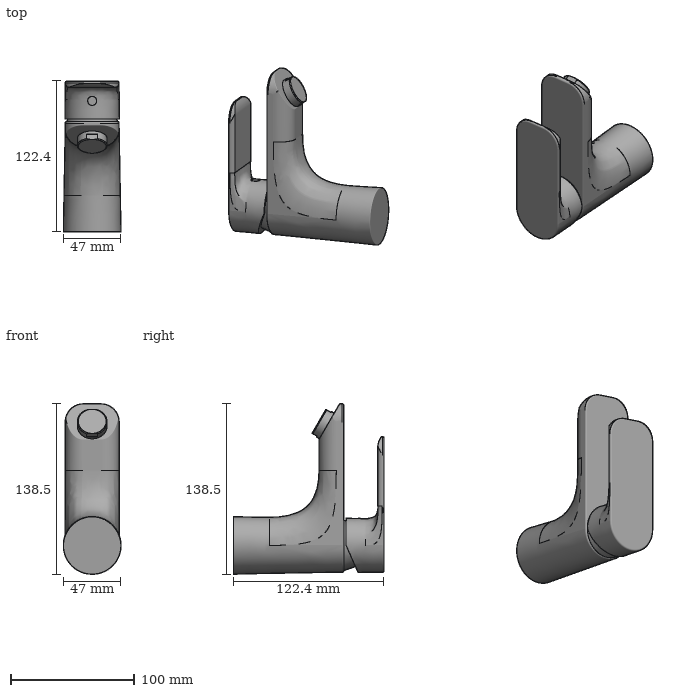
import cadquery as cq
import math


BASE_RADIUS = 46.99 / 2
BODY_LENGTH = 89.7
BODY_BACK_RADIUS = 21.9
TUBE_END_ROUND = 0.5
OVERALL_LENGTH = 122.44
EDGE_ROUND = 1.4
BACK_PLATE = 1.5

SPOUT_TOP = 138.49 - BASE_RADIUS
SPOUT_FRONT = 69.5
SPOUT_SIDE_FRONT = 83.6
SPOUT_FLAT_HALF = 7.75
TOP_CORNER_RADIUS = 15.0
SPOUT_ELBOW_TOP = 60.8
SPOUT_ELBOW_FRONT = 29.5
SPOUT_CROWN_HALF = 9.2
SPOUT_OUTER_PULL = 0.88
SPOUT_INNER_PULL = 0.70

SLOPE_ANGLE = 30.0
SLOPE_TOP_Y = 86.3
SLOPE_ROUND = 0.5
AERATOR_RADIUS = 12.1
AERATOR_HEIGHT = 7.4
AERATOR_CHAMFER = 0.8
AERATOR_OFFSET = 20.8
AERATOR_ROOT = 2.0
NOTCH_WIDTH = 9.0
NOTCH_FLOOR = 2.6

NECK_RADIUS = 20.6
NECK_END_RADIUS = 17.4
NECK_END = 99.0
NECK_OVERLAP = 2.0

LEVER_BACK_RADIUS = 21.9
LEVER_FRONT_RADIUS = 22.2
LEVER_FRONT = 91.6
LEVER_SLANT_Y = 101.4
LEVER_TOP = 88.4
LEVER_FACE = 117.2
LEVER_SIDE_FRONT = 120.9
LEVER_FLAT_HALF = 19.7
LEVER_CROWN_HALF = 20.6
LEVER_ELBOW_TOP = 31.8
LEVER_ELBOW_FRONT = 107.35
LEVER_OUTER_PULL = 0.85
LEVER_INNER_PULL = 0.80
LEVER_TIP_START = 79.4
LEVER_TIP_Y = 120.3
MARK_RADIUS = 3.65
MARK_Y = 106.4
MARK_FLOOR = 21.6

BODY_TAPER_END = BODY_LENGTH - BACK_PLATE
LEVER_TAPER_END = OVERALL_LENGTH - BACK_PLATE

SPOUT_ELBOW_STEPS = 10
LEVER_ELBOW_STEPS = 8
SECTION_ROOT = 0.7
ROOT_INSET = 0.5


def body_radius(y):
    share = (y - TUBE_END_ROUND) / (BODY_TAPER_END - TUBE_END_ROUND)
    return BASE_RADIUS + (BODY_BACK_RADIUS - BASE_RADIUS) * share


def lever_radius(y):
    share = (y - LEVER_FRONT) / (LEVER_TAPER_END - LEVER_FRONT)
    return LEVER_FRONT_RADIUS + (LEVER_BACK_RADIUS - LEVER_FRONT_RADIUS) * share


def frustum(radius_at, y_start, y_end):
    """Solid cone piece about the Y axis."""
    outline = [(0, y_start), (radius_at(y_start), y_start), (radius_at(y_end), y_end), (0, y_end)]
    return cq.Workplane("XY").polyline(outline).close().revolve(360, (0, 0, 0), (0, 1, 0))


def block(x_half, y_start, y_end, z_start, z_end):
    size = (2 * x_half, y_end - y_start, z_end - z_start)
    return cq.Workplane("XY").box(*size, centered=(True, False, False)).translate((0, y_start, z_start))


def elbow_handles(start, end, pull):
    """Bezier points of a bend that leaves start straight down and reaches end level."""
    below_start = (start[0], start[1] - pull * (start[1] - end[1]))
    behind_end = (end[0] + pull * (start[0] - end[0]), end[1])
    return [start, below_start, behind_end, end]


def bezier_point(handles, t):
    weights = [(1 - t) ** 3, 3 * t * (1 - t) ** 2, 3 * t ** 2 * (1 - t), t ** 3]
    return tuple(sum(w * p[axis] for w, p in zip(weights, handles)) for axis in range(2))


def corner_shape(inset, rise):
    """Arc tangent to a flat side: its half turn, and its middle as shares of inset and rise."""
    radius = (inset ** 2 + rise ** 2) / (2 * inset)
    half_turn = math.atan2(inset, rise)
    inset_share = radius * (1 - math.cos(half_turn)) / inset
    rise_share = radius * math.sin(half_turn) / rise
    return half_turn, inset_share, rise_share


def blend(start, end, t):
    return start + (end - start) * t


def section_wire(origin, direction, half_width, depth, split, split_depth, corner):
    """Closed section: two corner curves tangent to the sides and a crown between them."""
    half_turn, inset_share, rise_share = corner
    tangent_x = math.sin(2 * half_turn)
    tangent_d = math.cos(2 * half_turn)

    def place(x, d):
        return cq.Vector(x, origin[0] + d * direction[0], origin[1] + d * direction[1])

    def corner_edge(side):
        points = [place(side * half_width, 0),
                  place(side * (half_width - inset_share * (half_width - split)), rise_share * split_depth),
                  place(side * split, split_depth)]
        along_side = cq.Vector(0, *direction)
        into_crown = cq.Vector(-side * tangent_x, tangent_d * direction[0], tangent_d * direction[1])
        if side > 0:
            return cq.Edge.makeSpline(points, tangents=[along_side, into_crown])
        return cq.Edge.makeSpline(points[::-1], tangents=[-into_crown, -along_side])

    right_split = place(split, split_depth)
    left_split = place(-split, split_depth)
    root_corners = [place(-half_width, 0), place(ROOT_INSET - half_width, -SECTION_ROOT),
                    place(half_width - ROOT_INSET, -SECTION_ROOT), place(half_width, 0)]
    if math.isclose(split_depth, depth):
        crown = cq.Edge.makeLine(right_split, left_split)
    else:
        crown = cq.Edge.makeThreePointArc(right_split, place(0, depth), left_split)
    root = [cq.Edge.makeLine(*ends) for ends in zip(root_corners, root_corners[1:])]
    return cq.Wire.assembleEdges([corner_edge(1), crown, corner_edge(-1)] + root)


def elbow(outer, inner, radius_at, flat_half, crown_half, steps):
    """Bend that turns from a flat-fronted section into a half circle."""
    start_width = radius_at(outer[0][0])
    start_depth = math.dist(outer[0], inner[0])
    end_radius = radius_at(outer[-1][0])
    end_split_depth = math.sqrt(end_radius ** 2 - crown_half ** 2)
    start_corner = corner_shape(start_width - flat_half, start_depth)
    end_corner = corner_shape(end_radius - crown_half, end_split_depth)
    wires = []
    for step in range(steps + 1):
        t = step / steps
        back = bezier_point(outer, t)
        front = bezier_point(inner, t)
        depth = math.dist(back, front)
        direction = ((front[0] - back[0]) / depth, (front[1] - back[1]) / depth)
        split = blend(flat_half, crown_half, t)
        split_depth = depth * blend(1, end_split_depth / end_radius, t)
        corner = [blend(a, b, t) for a, b in zip(start_corner, end_corner)]
        wires.append(section_wire(back, direction, radius_at(back[0]), depth, split, split_depth, corner))
    return cq.Workplane(cq.Solid.makeLoft(wires))


def web(outer, radius_at, y_back):
    """Flat-sided solid between the elbow and the rear face, resting on the tube axis."""
    top = outer[0][1]
    y_front = outer[-1][0]
    widths = [(radius_at(y_front), y_front), (radius_at(y_back), y_back),
              (-radius_at(y_back), y_back), (-radius_at(y_front), y_front)]
    side = (cq.Workplane("YZ").moveTo(*outer[0]).bezier(outer[1:], includeCurrent=True)
            .lineTo(y_back, 0).lineTo(y_back, top).close().extrude(BASE_RADIUS, both=True))
    return cq.Workplane("XY").polyline(widths).close().extrude(top).intersect(side)


def upright(radius_at, y_back, y_side, y_front, flat_half, z_start, z_end):
    """Straight column with rounded front corners and rounded top corners."""
    back = radius_at(y_back)
    side = radius_at(y_side)
    inset = side - flat_half
    rise = y_side - y_front
    _, inset_share, rise_share = corner_shape(inset, rise)
    mid_x = side - inset_share * inset
    mid_y = y_side - rise_share * rise
    column = (cq.Workplane("XY").workplane(offset=z_start)
              .moveTo(-back, y_back).lineTo(-side, y_side)
              .threePointArc((-mid_x, mid_y), (-flat_half, y_front)).lineTo(flat_half, y_front)
              .threePointArc((mid_x, mid_y), (side, y_side)).lineTo(back, y_back)
              .close().extrude(z_end - z_start))
    outline = (block(side, y_front, y_back, z_start, z_end)
               .edges("|Y and >Z").fillet(TOP_CORNER_RADIUS))
    return column.intersect(outline)


def back_plate(radius, y_back, top):
    """Rear plate: half round below the axis, rounded top corners, rounded rear outline."""
    lower = cq.Workplane("XZ").circle(radius).extrude(BACK_PLATE)
    lower = lower.translate((0, y_back, 0))
    plate = (block(radius, y_back - BACK_PLATE, y_back, 0, top)
             .edges("|Y and >Z").fillet(TOP_CORNER_RADIUS)
             .union(lower))
    return plate.faces(">Y").edges().fillet(EDGE_ROUND)


def slope_plane():
    """Plane of the outlet face: origin at its top edge, local Y up the slope."""
    angle = math.radians(SLOPE_ANGLE)
    return cq.Plane(origin=(0, SLOPE_TOP_Y, SPOUT_TOP), xDir=(1, 0, 0),
                    normal=(0, -math.cos(angle), math.sin(angle)))


def outermost_along_slope_normal():
    return cq.selectors.DirectionMinMaxSelector(slope_plane().zDir, True)


def make_body():
    outer = elbow_handles((SPOUT_SIDE_FRONT, SPOUT_ELBOW_TOP), (SPOUT_ELBOW_FRONT, 0), SPOUT_OUTER_PULL)
    inner = elbow_handles((SPOUT_FRONT, SPOUT_ELBOW_TOP),
                          (SPOUT_ELBOW_FRONT, body_radius(SPOUT_ELBOW_FRONT)), SPOUT_INNER_PULL)
    tube = frustum(body_radius, 0, BODY_TAPER_END).faces("<Y").edges().fillet(TUBE_END_ROUND)
    above_axis = block(2 * BASE_RADIUS, SPOUT_ELBOW_FRONT, BODY_LENGTH, 0, BASE_RADIUS)
    column = upright(body_radius, BODY_TAPER_END, SPOUT_SIDE_FRONT, SPOUT_FRONT, SPOUT_FLAT_HALF,
                     SPOUT_ELBOW_TOP, SPOUT_TOP)
    above_slope = (cq.Workplane(slope_plane())
                   .rect(4 * BASE_RADIUS, 2 * SPOUT_TOP).extrude(SPOUT_TOP))
    column = column.cut(above_slope)
    column = column.faces(outermost_along_slope_normal()).edges().fillet(SLOPE_ROUND)
    body = (tube.cut(above_axis)
            .union(web(outer, body_radius, BODY_TAPER_END))
            .union(elbow(outer, inner, body_radius, SPOUT_FLAT_HALF, SPOUT_CROWN_HALF, SPOUT_ELBOW_STEPS))
            .union(column)
            .union(back_plate(BODY_BACK_RADIUS, BODY_LENGTH, SPOUT_TOP)))
    return body


def make_aerator():
    centre = cq.Workplane(slope_plane()).center(0, -AERATOR_OFFSET)
    aerator = (centre.workplane(offset=-AERATOR_ROOT).circle(AERATOR_RADIUS)
               .extrude(AERATOR_ROOT + AERATOR_HEIGHT)
               .faces(outermost_along_slope_normal())
               .chamfer(AERATOR_CHAMFER))
    flat_distance = math.sqrt(AERATOR_RADIUS ** 2 - (NOTCH_WIDTH / 2) ** 2)
    for side in (1, -1):
        notch = (centre.workplane(offset=NOTCH_FLOOR)
                 .center(0, side * (flat_distance + NOTCH_WIDTH / 2))
                 .rect(NOTCH_WIDTH, NOTCH_WIDTH).extrude(AERATOR_HEIGHT))
        aerator = aerator.cut(notch)
    return aerator


def make_neck():
    outline = [(0, BODY_LENGTH - NECK_OVERLAP), (NECK_RADIUS, BODY_LENGTH - NECK_OVERLAP),
               (NECK_RADIUS, BODY_LENGTH), (NECK_END_RADIUS, NECK_END),
               (NECK_END_RADIUS, NECK_END + 2 * NECK_OVERLAP), (0, NECK_END + 2 * NECK_OVERLAP)]
    return cq.Workplane("XY").polyline(outline).close().revolve(360, (0, 0, 0), (0, 1, 0))


def tip_cutter():
    """Material in front of the curved lever tip."""
    run_back = LEVER_TIP_Y - LEVER_FACE
    rise = LEVER_TOP - LEVER_TIP_START
    _, run_share, rise_share = corner_shape(run_back, rise)
    middle = (LEVER_FACE + run_share * run_back, LEVER_TIP_START + rise_share * rise)
    return (cq.Workplane("YZ").moveTo(LEVER_FACE, LEVER_TIP_START)
            .threePointArc(middle, (LEVER_TIP_Y, LEVER_TOP))
            .lineTo(LEVER_FACE, LEVER_TOP).close().extrude(BASE_RADIUS, both=True))


def make_lever():
    outer = elbow_handles((LEVER_SIDE_FRONT, LEVER_ELBOW_TOP), (LEVER_ELBOW_FRONT, 0), LEVER_OUTER_PULL)
    inner = elbow_handles((LEVER_FACE, LEVER_ELBOW_TOP),
                          (LEVER_ELBOW_FRONT, lever_radius(LEVER_ELBOW_FRONT)), LEVER_INNER_PULL)
    hub = frustum(lever_radius, LEVER_FRONT, LEVER_TAPER_END)
    above_axis = block(2 * BASE_RADIUS, LEVER_ELBOW_FRONT, OVERALL_LENGTH, 0, BASE_RADIUS)
    slant = (cq.Workplane("YZ")
             .polyline([(LEVER_FRONT, 0), (LEVER_SLANT_Y, -LEVER_FRONT_RADIUS),
                        (LEVER_FRONT, -LEVER_FRONT_RADIUS)])
             .close().extrude(BASE_RADIUS, both=True))
    blade = upright(lever_radius, LEVER_TAPER_END, LEVER_SIDE_FRONT, LEVER_FACE, LEVER_FLAT_HALF,
                    LEVER_ELBOW_TOP, LEVER_TOP).cut(tip_cutter())
    lever = (hub.cut(above_axis).cut(slant)
             .union(web(outer, lever_radius, LEVER_TAPER_END))
             .union(elbow(outer, inner, lever_radius, LEVER_FLAT_HALF, LEVER_CROWN_HALF, LEVER_ELBOW_STEPS))
             .union(blade)
             .union(back_plate(LEVER_BACK_RADIUS, OVERALL_LENGTH, LEVER_TOP)))
    mark = (cq.Workplane("XY").workplane(offset=MARK_FLOOR).center(0, MARK_Y)
            .circle(MARK_RADIUS).extrude(BASE_RADIUS))
    return lever.cut(mark)


fixed_parts = make_body().union(make_aerator(), clean=False)
result = fixed_parts.union(make_neck(), clean=False).union(make_lever(), clean=False)